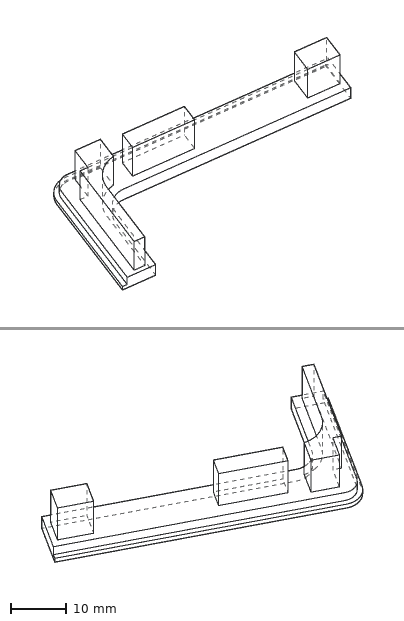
import cadquery as cq
import math

length_x = 27.5
length_y = 58.5
height = 11.0
leg_width = 9.1
arm_width = 6.95
corner_radius = 4.0

flange_thickness = 1.0
plate_thickness = 3.0
step = 1.0
post_height = height - plate_thickness

post_inner_x = 7.3
end_post_x = 2.5
end_post_start = 50.55
end_post_end = 57.35
middle_post_x = 3.6
middle_post_start = 13.9
middle_post_end = 26.9

block_x = 2.7
block_bottom = 4.55
block_top = 9.9
wall_bottom = 2.9
wall_end = 26.7
wall_inset = 1.8
wall_top = arm_width - wall_inset


def plate_layer(inset, bottom, top):
    """L-shaped layer whose two outer sides are moved inward by inset."""
    radius = corner_radius - inset
    profile = (
        cq.Workplane("XY", origin=(0, 0, bottom))
        .moveTo(inset, length_y)
        .lineTo(inset, corner_radius)
        .radiusArc((corner_radius, inset), -radius)
        .lineTo(length_x, inset)
        .lineTo(length_x, arm_width)
        .lineTo(leg_width + corner_radius, arm_width)
        .radiusArc((leg_width, arm_width + corner_radius), corner_radius)
        .lineTo(leg_width, length_y)
        .close()
    )
    return profile.extrude(top - bottom)


def post(x_start, y_start, y_end):
    """Rectangular post reaching from x_start to the shared inner face."""
    return (
        cq.Workplane("XY", origin=(x_start, y_start, plate_thickness))
        .rect(post_inner_x - x_start, y_end - y_start, centered=False)
        .extrude(post_height)
    )


def corner_rib():
    """Block and wall joined by an arc concentric with the inner corner."""
    center_x = leg_width + corner_radius
    center_y = arm_width + corner_radius
    radius = corner_radius + wall_inset
    arc_start_x = center_x - math.sqrt(radius**2 - (center_y - block_top) ** 2)
    return (
        cq.Workplane("XY", origin=(0, 0, plate_thickness))
        .moveTo(block_x, block_top)
        .lineTo(arc_start_x, block_top)
        .radiusArc((center_x, wall_top), -radius)
        .lineTo(wall_end, wall_top)
        .lineTo(wall_end, wall_bottom)
        .lineTo(post_inner_x, wall_bottom)
        .lineTo(post_inner_x, block_bottom)
        .lineTo(block_x, block_bottom)
        .close()
        .extrude(post_height)
    )


result = (
    plate_layer(0, 0, flange_thickness)
    .union(plate_layer(step, flange_thickness, plate_thickness))
    .union(post(end_post_x, end_post_start, end_post_end))
    .union(post(middle_post_x, middle_post_start, middle_post_end))
    .union(corner_rib())
)